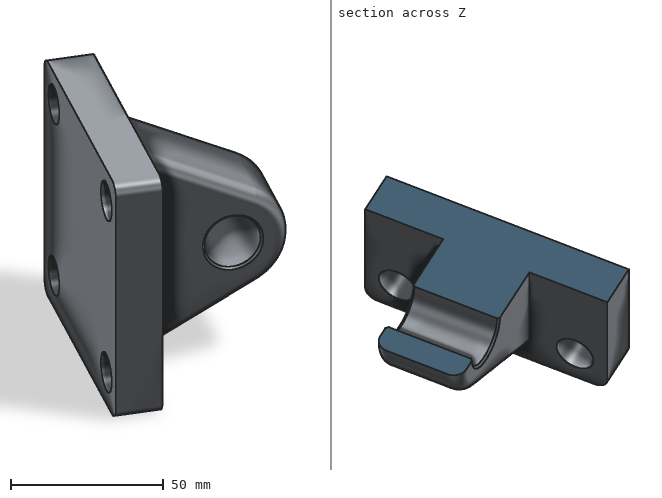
import cadquery as cq
import math

PLATE_SIZE = 88.9
PLATE_THICKNESS = 15.88
PLATE_CORNER_RADIUS = 4.76

MOUNT_HOLE_DIAMETER = 13.5
MOUNT_HOLE_SPACING = 65.1

LUG_WIDTH = 31.75
LUG_ROOT_HALF_HEIGHT = 38.1
LUG_EDGE_FILLET = 4.76
TOTAL_DEPTH = 66.73
LUG_NOSE_RADIUS = 19.05

PIN_HOLE_DIAMETER = 19.05
PIN_HOLE_CHAMFER = 0.76

PIN_Y = TOTAL_DEPTH - LUG_NOSE_RADIUS


def make_plate():
    plate = (
        cq.Workplane("XY")
        .box(PLATE_SIZE, PLATE_THICKNESS, PLATE_SIZE, centered=(True, False, True))
        .edges("|Y")
        .fillet(PLATE_CORNER_RADIUS)
    )
    return (
        plate.faces("<Y")
        .workplane()
        .rarray(MOUNT_HOLE_SPACING, MOUNT_HOLE_SPACING, 2, 2)
        .hole(MOUNT_HOLE_DIAMETER)
    )


def make_lug():
    root_to_pin = PIN_Y - PLATE_THICKNESS
    root_distance = math.hypot(root_to_pin, LUG_ROOT_HALF_HEIGHT)
    root_angle = math.atan2(LUG_ROOT_HALF_HEIGHT, -root_to_pin)
    tangent_angle = root_angle - math.acos(LUG_NOSE_RADIUS / root_distance)
    tangent_y = PIN_Y + LUG_NOSE_RADIUS * math.cos(tangent_angle)
    tangent_z = LUG_NOSE_RADIUS * math.sin(tangent_angle)

    lug = (
        cq.Workplane("YZ")
        .moveTo(PLATE_THICKNESS, -LUG_ROOT_HALF_HEIGHT)
        .lineTo(tangent_y, -tangent_z)
        .threePointArc((TOTAL_DEPTH, 0), (tangent_y, tangent_z))
        .lineTo(PLATE_THICKNESS, LUG_ROOT_HALF_HEIGHT)
        .close()
        .extrude(LUG_WIDTH / 2, both=True)
    )
    root_edges = lug.faces("<Y").edges().vals()
    side_edges = lug.faces("<X or >X").edges().vals()
    outline_edges = [
        edge for edge in side_edges
        if not any(edge.isSame(root_edge) for root_edge in root_edges)
    ]
    return lug.newObject(outline_edges).fillet(LUG_EDGE_FILLET)


def make_pin_hole_cutter():
    half_width = LUG_WIDTH / 2
    radius = PIN_HOLE_DIAMETER / 2
    mouth_radius = radius + PIN_HOLE_CHAMFER
    return (
        cq.Workplane("XY")
        .moveTo(-half_width, PIN_Y)
        .lineTo(-half_width, PIN_Y + mouth_radius)
        .lineTo(-half_width + PIN_HOLE_CHAMFER, PIN_Y + radius)
        .lineTo(half_width - PIN_HOLE_CHAMFER, PIN_Y + radius)
        .lineTo(half_width, PIN_Y + mouth_radius)
        .lineTo(half_width, PIN_Y)
        .close()
        .revolve(360, (-half_width, PIN_Y, 0), (half_width, PIN_Y, 0))
    )


result = make_plate().union(make_lug()).cut(make_pin_hole_cutter())